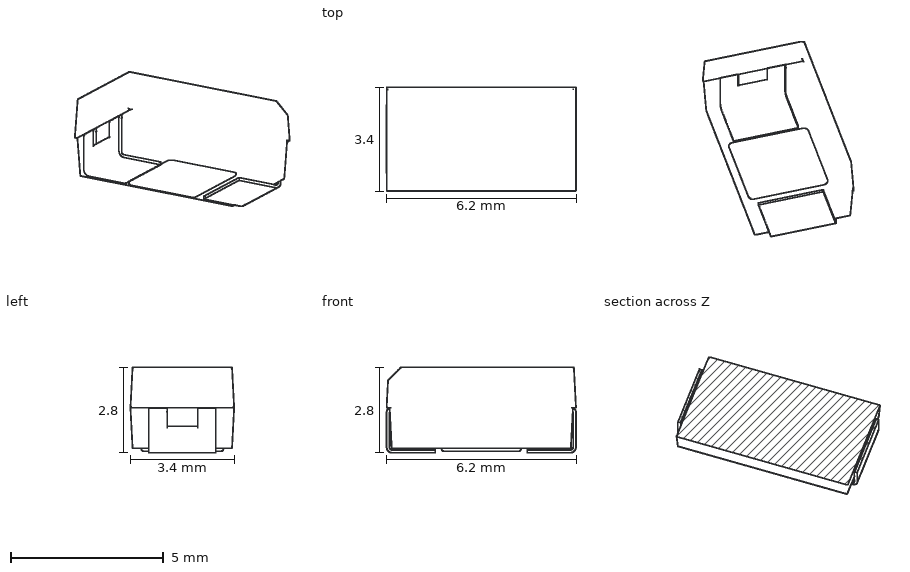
import cadquery as cq
import math

length = 6.2
width = 3.4
height = 2.8

strip_thickness = 0.1
terminal_width = 2.2
bend_inner_radius = 0.1
bend_outer_radius = bend_inner_radius + strip_thickness
lead_inner_radius = 0.05
lead_outer_radius = lead_inner_radius + strip_thickness
foot_length = 1.6
slot_width = 1.0
slot_floor_z = 0.88
slot_floor_rounding = 0.055

housing_bottom_z = 0.15
parting_z = (housing_bottom_z + height) / 2
draft_angle = 3.0
edge_radius = 0.04
lower_length = length - 2 * strip_thickness
polarity_chamfer = 0.48

pad_length = 2.605
pad_width = 2.7
pad_height = 0.1
pad_corner_radius = 0.15
pad_edge_radius = 0.09


def drafted_block(block_length, block_height):
    """Block that starts on the parting plane and narrows away from it."""
    return (
        cq.Workplane("XY", origin=(0, 0, parting_z))
        .rect(block_length, width)
        .extrude(block_height, taper=draft_angle)
    )


def upper_half():
    """Upper half with the polarity chamfer, rounded all over but along its parting lines."""
    wedge = (
        cq.Workplane("XZ")
        .moveTo(-length / 2, height)
        .lineTo(-length / 2 + polarity_chamfer, height)
        .lineTo(-length / 2, height - polarity_chamfer)
        .close()
        .extrude(width / 2, both=True)
    )
    block = drafted_block(length, height - parting_z).cut(wedge)
    rounded_edges = block.edges("not <Z").add(block.edges("<Z and |Y"))
    return rounded_edges.fillet(edge_radius)


def lower_half():
    """Lower half, shorter than the upper one to clear the terminals."""
    block = drafted_block(lower_length, housing_bottom_z - parting_z)
    return block.edges("not >Z").fillet(edge_radius)


def make_pad():
    """Standoff pad below the housing, with rounded corners and bottom edge."""
    return (
        cq.Workplane("XY", origin=(0, 0, housing_bottom_z))
        .rect(pad_length, pad_width)
        .extrude(-pad_height)
        .edges("|Z")
        .fillet(pad_corner_radius)
        .faces("<Z")
        .edges()
        .fillet(pad_edge_radius)
    )


def make_housing(terminals):
    """Moulded housing with its standoff pad and a pocket for each terminal lead."""
    housing = upper_half().union(lower_half()).union(make_pad())
    for terminal in terminals:
        housing = housing.cut(terminal)
    return housing


def terminal_strip():
    """Bent strip of the -X terminal: foot, upright and the lead that enters the housing."""
    outer_x = -length / 2
    inner_x = outer_x + strip_thickness
    lead_tip_x = outer_x + lead_outer_radius
    bend_end_x = outer_x + bend_outer_radius
    bend_center = (bend_end_x, bend_outer_radius)
    lead_center = (lead_tip_x, parting_z - lead_outer_radius)
    return (
        cq.Workplane("XZ")
        .moveTo(outer_x + foot_length, 0)
        .lineTo(bend_end_x, 0)
        .threePointArc(arc_middle(bend_center, bend_outer_radius, -1), (outer_x, bend_outer_radius))
        .lineTo(outer_x, lead_center[1])
        .threePointArc(arc_middle(lead_center, lead_outer_radius, 1), (lead_tip_x, parting_z))
        .lineTo(lead_tip_x, parting_z - strip_thickness)
        .threePointArc(arc_middle(lead_center, lead_inner_radius, 1), (inner_x, lead_center[1]))
        .lineTo(inner_x, bend_outer_radius)
        .threePointArc(arc_middle(bend_center, bend_inner_radius, -1), (bend_end_x, strip_thickness))
        .lineTo(outer_x + foot_length, strip_thickness)
        .close()
        .extrude(terminal_width / 2, both=True)
    )


def arc_middle(center, radius, vertical_side):
    """Middle of a quarter bend on the -X side, above (1) or below (-1) its centre."""
    offset = radius * math.sqrt(0.5)
    return (center[0] - offset, center[1] + vertical_side * offset)


def terminal_slot():
    """Open-topped slot between the leads, with a rounded outer lip on its floor."""
    outer_x = -length / 2
    return (
        cq.Workplane("XZ")
        .moveTo(outer_x, slot_floor_z - slot_floor_rounding)
        .radiusArc((outer_x + slot_floor_rounding, slot_floor_z), slot_floor_rounding)
        .lineTo(outer_x + lead_outer_radius, slot_floor_z)
        .lineTo(outer_x + lead_outer_radius, parting_z)
        .lineTo(outer_x, parting_z)
        .close()
        .extrude(slot_width / 2, both=True)
    )


def make_terminals():
    """Terminals at the -X and +X ends, the second turned half a turn about Z."""
    terminal = terminal_strip().cut(terminal_slot())
    return [terminal.rotate((0, 0, 0), (0, 0, 1), turn) for turn in (0, 180)]


terminals = make_terminals()
housing = make_housing(terminals)

result = cq.Compound.makeCompound(
    [housing.solids().val(), *[terminal.solids().val() for terminal in terminals]]
)